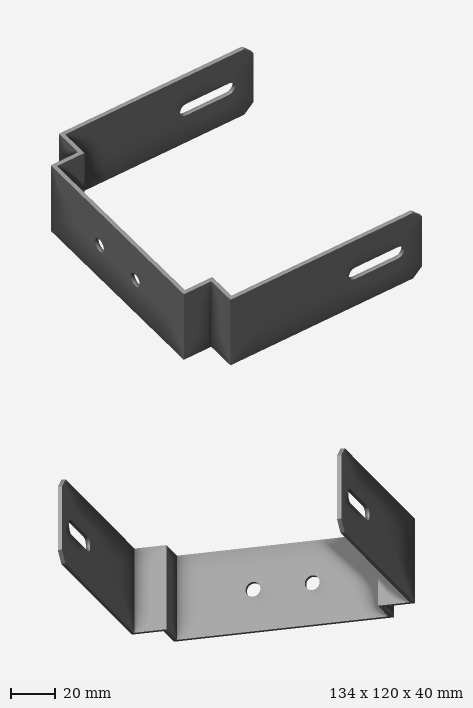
import cadquery as cq

width = 134.0
depth = 120.0
height = 40.0
thickness = 2.0

front_width = 104.0
step_depth = 15.0

hole_diameter = 7.0
hole_spacing = 28.0
slot_length = 30.0
slot_width = hole_diameter
slot_end_gap = 10.0
corner_chamfer = 5.0


def block(x_size, y_size, y_start):
    """Full-height block centred on X, starting at y_start, with its base at Z = 0."""
    return (
        cq.Workplane("XY")
        .box(x_size, y_size, height, centered=(True, False, False))
        .translate((0, y_start, 0))
    )


def bent_strip():
    """Stepped U-shaped strip of constant thickness, open towards +Y."""
    outer = block(width, depth - step_depth, step_depth).union(block(front_width, step_depth, 0))
    wide_space = block(width - 2 * thickness, depth, step_depth + thickness)
    narrow_space = block(front_width - 2 * thickness, depth, thickness)
    return outer.cut(wide_space).cut(narrow_space)


def front_holes():
    """Pair of round cutters through the front wall."""
    return (
        cq.Workplane("XZ")
        .pushPoints([(side * hole_spacing / 2, height / 2) for side in (-1, 1)])
        .circle(hole_diameter / 2)
        .extrude(step_depth / 2, both=True)
    )


def arm_slots():
    """Cutter for the slots, running through both arms."""
    slot_center = depth - slot_end_gap - slot_length / 2
    return (
        cq.Workplane("YZ")
        .center(slot_center, height / 2)
        .slot2D(slot_length, slot_width)
        .extrude(width, both=True)
    )


strip = bent_strip().faces(">Y").edges("|X").chamfer(corner_chamfer)

result = strip.cut(front_holes()).cut(arm_slots())